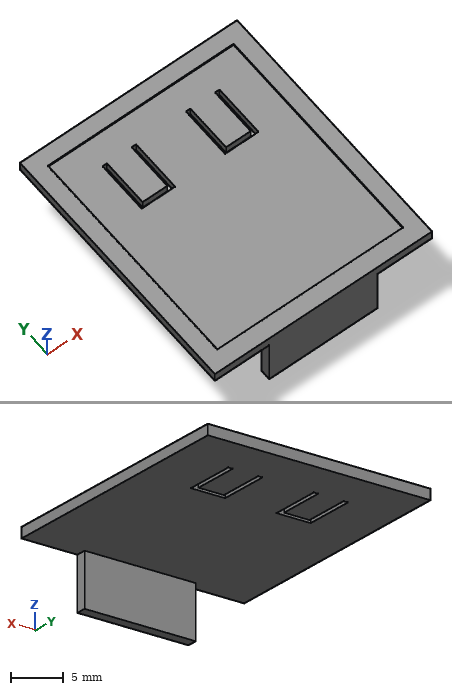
import cadquery as cq

plate_width = 26.0
plate_length = 30.0
thickness = 1.2
total_height = 7.2

recess_side_margin = 1.9
recess_back_margin = 1.9
recess_front_margin = 2.05
recess_depth = 0.2

tab_width = 13.0

slot_outer_width = 4.0
slot_length = 6.0
slot_gap = 0.5
slot_spacing = 10.0
slot_back_margin = 5.0

front_y = -plate_length / 2
back_y = plate_length / 2


def make_plate():
    plate = cq.Workplane("XY").box(plate_width, plate_length, thickness, centered=(True, True, False))
    return plate.translate((0, 0, -thickness))


def make_tab():
    tab = cq.Workplane("XY").box(tab_width, thickness, total_height, centered=(True, False, False))
    return tab.translate((0, front_y, -total_height))


def make_recess():
    width = plate_width - 2 * recess_side_margin
    length = plate_length - recess_front_margin - recess_back_margin
    recess = cq.Workplane("XY").box(width, length, recess_depth, centered=(True, False, False))
    return recess.translate((0, front_y + recess_front_margin, -recess_depth))


def make_slot(center_x):
    slot_back_y = back_y - slot_back_margin
    slot_front_y = slot_back_y - slot_length
    outer_half = slot_outer_width / 2
    tongue_half = outer_half - slot_gap
    tongue_end_y = slot_front_y + slot_gap
    outline = [
        (-outer_half, slot_back_y),
        (-outer_half, slot_front_y),
        (outer_half, slot_front_y),
        (outer_half, slot_back_y),
        (tongue_half, slot_back_y),
        (tongue_half, tongue_end_y),
        (-tongue_half, tongue_end_y),
        (-tongue_half, slot_back_y),
    ]
    slot = cq.Workplane("XY").polyline(outline).close().extrude(-thickness)
    return slot.translate((center_x, 0, 0))


result = make_plate().union(make_tab()).cut(make_recess())
for side in (-1, 1):
    result = result.cut(make_slot(side * slot_spacing / 2))